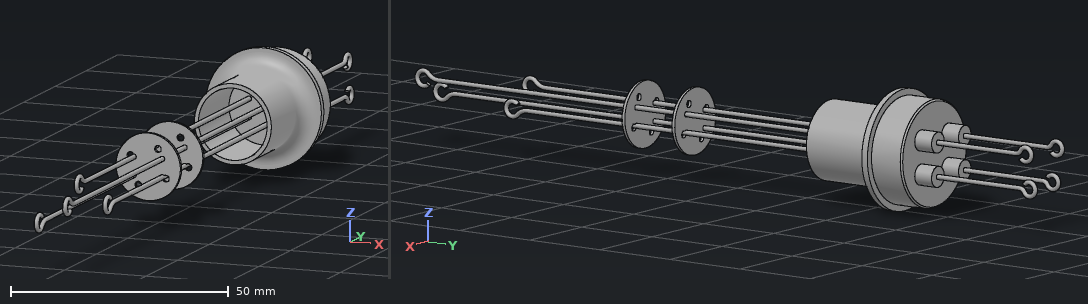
import cadquery as cq
import math


flange_radius = 28.57 / 2
flange_thickness = 1.6
body_radius = 12.7
body_length = 8.6
body_edge_chamfer = 0.4
tube_radius = 9.5
tube_length = 19.4
tube_fillet = 3.7
bore_radius = 8.45

rear_wire_x = 5.2
rear_wire_z = 4.0
bushing_radius = 2.45
bushing_length = 4.8

front_wire_x = 3.5
front_wire_z = 2.15

disc_radius = 7.94
disc_thickness = 0.8
disc_offsets = (58.5, 72.75)
disc_hole_radius = 0.8
disc_hole_circle = 5.0
disc_hole_angle = 61.0

wire_radius = 0.6
front_eye_radius = 1.8
rear_eye_radius = 1.65
eye_overrun = 52.0
front_neck = 4.2
rear_neck = 2.7

total_length = 178.82
rear_tip = 43.36
front_tip = total_length - rear_tip
rear_tip_setback = 1.1
front_tip_setback = 25.4

body_back = flange_thickness + body_length


def shell():
    """Revolved flange, body, filleted tube and the blind bore of the tube."""
    profile = (
        cq.Workplane("XY")
        .moveTo(0, 0)
        .lineTo(bore_radius, 0)
        .lineTo(bore_radius, -tube_length)
        .lineTo(tube_radius, -tube_length)
        .lineTo(tube_radius, -tube_fillet)
        .radiusArc((tube_radius + tube_fillet, 0), tube_fillet)
        .lineTo(flange_radius, 0)
        .lineTo(flange_radius, flange_thickness)
        .lineTo(body_radius, flange_thickness)
        .lineTo(body_radius, body_back - body_edge_chamfer)
        .lineTo(body_radius - body_edge_chamfer, body_back)
        .lineTo(0, body_back)
        .close()
    )
    return profile.revolve(360, (0, 0, 0), (0, 1, 0))


def along_y(radius, length, start_y, x=0, z=0):
    """Cylinder running from start_y toward +Y."""
    start = cq.Vector(x, start_y, z)
    return cq.Workplane(cq.Solid.makeCylinder(radius, length, start, cq.Vector(0, 1, 0)))


def disc(center_y):
    """Spacer disc with four holes evenly placed on a circle."""
    start_y = center_y - disc_thickness / 2
    plate = along_y(disc_radius, disc_thickness, start_y)
    for quarter in range(4):
        angle = math.radians(disc_hole_angle + 90 * quarter)
        hole_x = disc_hole_circle * math.cos(angle)
        hole_z = disc_hole_circle * math.sin(angle)
        plate = plate.cut(along_y(disc_hole_radius, disc_thickness, start_y, hole_x, hole_z))
    return plate


def hooked_wire(x, z, start_y, tip_y, eye_radius, neck):
    """Wire from start_y to an open eye centred on the wire axis, with its outermost point at tip_y.

    The wire bends away from Z = 0, then runs around the eye and back toward the middle.
    """
    along = math.copysign(1, tip_y - start_y)
    outward = math.copysign(1, z)
    eye_y = tip_y - along * (eye_radius + wire_radius)
    bend_radius = (neck**2 - eye_radius**2) / (2 * eye_radius)
    half_turn = math.atan2(neck, bend_radius) / 2
    join_angle = math.atan2(bend_radius, -neck)
    end_angle = -math.pi / 2 - math.radians(eye_overrun)

    def place(distance, height):
        return (eye_y + along * distance, z + outward * height)

    def on_eye(angle):
        return place(eye_radius * math.cos(angle), eye_radius * math.sin(angle))

    bend_middle = place(
        bend_radius * math.sin(half_turn) - neck,
        bend_radius * (1 - math.cos(half_turn)),
    )
    path = (
        cq.Workplane("YZ", origin=(x, 0, 0))
        .moveTo(start_y, z)
        .lineTo(*place(-neck, 0))
        .threePointArc(bend_middle, on_eye(join_angle))
        .threePointArc(on_eye((join_angle + end_angle) / 2), on_eye(end_angle))
    )
    section = cq.Workplane("XZ", origin=(x, start_y, z)).circle(wire_radius)
    return section.sweep(path)


def bushing(x, z):
    """Round bushing on the back face of the body."""
    return along_y(bushing_radius, bushing_length, body_back, x, z)


result = shell()
for offset in disc_offsets:
    result = result.union(disc(-offset))

wire_start = body_back / 2
for side_x in (1, -1):
    for side_z in (1, -1):
        if side_x == side_z:
            front_end = -front_tip
            rear_end = rear_tip - rear_tip_setback
        else:
            front_end = front_tip_setback - front_tip
            rear_end = rear_tip
        front_x = side_x * front_wire_x
        front_z = side_z * front_wire_z
        rear_x = side_x * rear_wire_x
        rear_z = side_z * rear_wire_z
        result = result.union(bushing(rear_x, rear_z))
        result = result.union(hooked_wire(front_x, front_z, wire_start, front_end, front_eye_radius, front_neck))
        result = result.union(hooked_wire(rear_x, rear_z, wire_start, rear_end, rear_eye_radius, rear_neck))